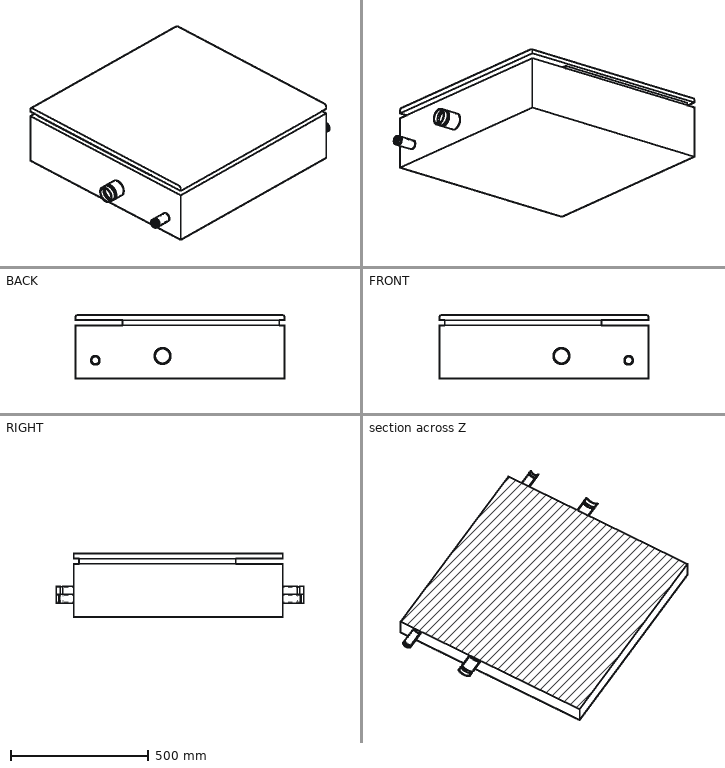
import cadquery as cq

SIDE = 762.0
LID_THICKNESS = 19.05
LID_GAP = 19.05
TOTAL_HEIGHT = 231.9
BOX_HEIGHT = TOTAL_HEIGHT - LID_THICKNESS - LID_GAP
LID_EDGE_RADIUS = LID_THICKNESS / 2

SPACER_SIDE = 571.5
SPACER_INSET = 19.05

FRONT_STUB = 63.5
BACK_STUB = 76.2

LARGE_PIPE = {
    "x": 444.5,
    "z": 82.55,
    "outer": 60.33,
    "bore": 52.58,
    "groove": 57.12,
    "groove_width": 8.74,
    "end_land": 15.88,
}
SMALL_PIPE = {
    "x": 689.0,
    "z": 66.7,
    "outer": 33.4,
    "bore": 26.67,
    "groove": 30.2,
    "groove_width": 3.2,
    "end_land": 9.53,
}


def block(length, width, height, corner):
    """Box with its lowest corner at the given point."""
    return cq.Workplane("XY").box(length, width, height, centered=False).translate(corner)


def make_lid():
    """Square cover plate with its two top edges parallel to Y rounded."""
    lid = block(SIDE, SIDE, LID_THICKNESS, (0, 0, BOX_HEIGHT + LID_GAP))
    return lid.faces(">Z").edges("|Y").fillet(LID_EDGE_RADIUS)


def rod(pipe, diameter, y_start, y_end):
    """Cylinder on the pipe axis between two Y positions."""
    axis_point = cq.Vector(pipe["x"], y_start, pipe["z"])
    along_y = cq.Vector(0, 1, 0)
    return cq.Workplane(cq.Solid.makeCylinder(diameter / 2, y_end - y_start, axis_point, along_y))


def make_stub(pipe, y_start, y_end, groove_start):
    """Open pipe stub with one coupling groove around it."""
    groove_end = groove_start + pipe["groove_width"]
    groove_ring = rod(pipe, pipe["outer"], groove_start, groove_end)
    groove_ring = groove_ring.cut(rod(pipe, pipe["groove"], groove_start, groove_end))

    stub = rod(pipe, pipe["outer"], y_start, y_end)
    stub = stub.cut(rod(pipe, pipe["bore"], y_start, y_end))
    return stub.cut(groove_ring)


def make_front_stub(pipe):
    """Stub on the -Y wall; its bore ends at the wall."""
    groove_start = -FRONT_STUB + pipe["end_land"]
    return make_stub(pipe, -FRONT_STUB, 0, groove_start)


def make_back_stub(pipe):
    """Stub on the +Y wall; its bore ends at the wall."""
    y_end = SIDE + BACK_STUB
    groove_start = y_end - pipe["end_land"] - pipe["groove_width"]
    return make_stub(pipe, SIDE, y_end, groove_start)


housing = block(SIDE, SIDE, BOX_HEIGHT, (0, 0, 0))
spacer = block(SPACER_SIDE, SPACER_SIDE, LID_GAP, (SPACER_INSET, SPACER_INSET, BOX_HEIGHT))
result = housing.union(spacer).union(make_lid())
for pipe in (LARGE_PIPE, SMALL_PIPE):
    result = result.union(make_front_stub(pipe)).union(make_back_stub(pipe))